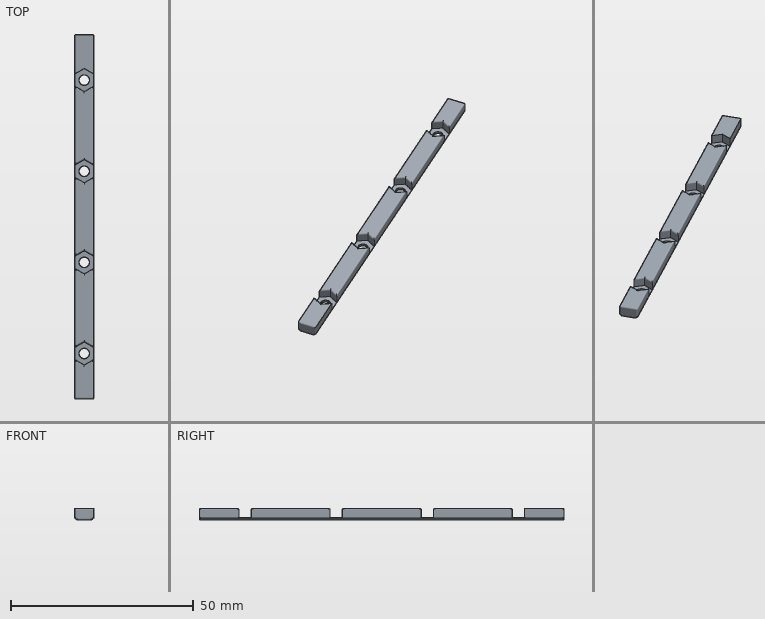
import cadquery as cq
import math

LENGTH = 100.0
WIDTH = 5.3
HEIGHT = 3.2

UNDERSIDE_BEVEL = 0.65
EDGE_RADIUS = 0.4

SEAT_COUNT = 4
SEAT_PITCH = LENGTH / SEAT_COUNT
FIRST_SEAT_Y = -LENGTH / 2 + SEAT_PITCH / 2
HEX_FLATS = 5.5
HEX_CORNERS = HEX_FLATS / math.cos(math.pi / 6)
FLOOR_THICKNESS = 0.7
HOLE_DIAMETER = 2.8


def make_bar():
    """Bar with bevelled lower long edges and rounded ends; the top edge at -Y stays sharp here."""
    bar = cq.Workplane("XY").box(WIDTH, LENGTH, HEIGHT, centered=(True, True, False))
    bar = bar.faces("<Z").edges("|Y").chamfer(UNDERSIDE_BEVEL)
    bar = bar.faces(">Y").edges().fillet(EDGE_RADIUS)
    return bar.faces("<Y").edges("not >Z").fillet(EDGE_RADIUS)


def cut_seat(bar, seat_y):
    """Hexagonal pocket wider than the bar, corners pointing along Y, with a through hole in its floor."""
    pocket = (
        cq.Workplane("XY", origin=(0, seat_y, FLOOR_THICKNESS))
        .transformed(rotate=(0, 0, 90))
        .polygon(6, HEX_CORNERS)
        .extrude(HEIGHT - FLOOR_THICKNESS)
    )
    hole = cq.Workplane("XY", origin=(0, seat_y, 0)).circle(HOLE_DIAMETER / 2).extrude(HEIGHT)
    return bar.cut(pocket).cut(hole)


def round_pads(bar):
    """Round all top edges of every pad except the last one, at the +Y end, which stays sharp."""
    pad_tops = bar.faces(">Z").vals()
    pad_tops.sort(key=lambda face: face.Center().y)
    return bar.newObject(pad_tops[:-1]).edges().fillet(EDGE_RADIUS)


result = make_bar()
for seat_index in range(SEAT_COUNT):
    result = cut_seat(result, FIRST_SEAT_Y + seat_index * SEAT_PITCH)
result = round_pads(result)